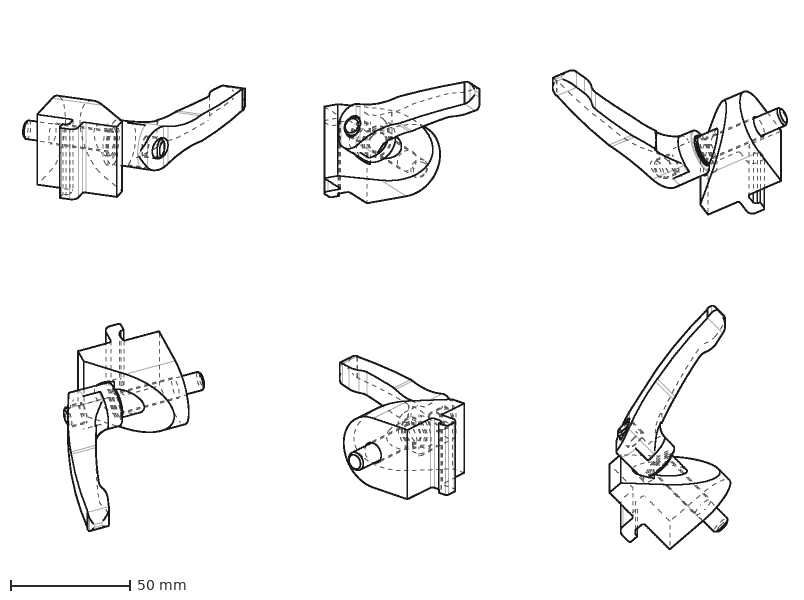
import cadquery as cq
import math


block_width = 32.0
round_radius = block_width / 2
block_length = 36.0
slope_start_x = 6.6
end_face_top_y = round_radius - (block_length - slope_start_x)
left_base_y = -18.8
right_base_y = -19.9
neck_left_x = 16.2
neck_right_x = 21.0
hook_left_x = 13.5
hook_top_y = -24.7
hook_bevel = 1.2
hook_bottom_y = -29.0
hook_toe_radius = 0.9
hook_heel_radius = 2.8
neck_left_fillet = 1.2
neck_right_fillet = 1.0
seat_diameter = 12.5
seat_x = 26.0
clearance_diameter = 9.0
hub_pocket_diameter = 20.0

stud_diameter = 8.0
stud_start_x = -11.9
stud_end_x = 49.0
stud_chamfer = 0.8
bush_diameter = 13.5
bush_chamfer = (bush_diameter - seat_diameter) / 2
hub_start_x = 27.4
hub_start_radius = 9.4
hub_radius = 9.6
hub_taper_end_x = 41.4
hub_edge_fillet = 0.3
hub_end_fillet = 3.8
end_low = (44.1, -hub_radius)
end_high = (48.9, 1.9)
stud_bore_diameter = 9.0

back_start = (49.9, 4.3)
flare_start_x = 33.65
flare_start_radius = 9.5
flare_mid = (38.5, 11.5)
flare_end = (41.2, 14.85)
flare_overlap = 1.7
flare_slope = 0.45
back_mid = (60.0, 39.8)
inner_mid = (46.2, 27.3)
inner_end = (52.3, 46.6)
hollow_mid = (52.4, 48.8)
grip_start = (51.8, 50.8)
grip_mid = (51.5, 53.6)
grip_end = (52.0, 56.4)
tip_y = 65.0
tip_x = 63.1
tip_start_y = 60.9
tip_inner_x = 53.3
tip_outer_x = 62.8
tip_corner_mid = (55.2, 63.9)
tip_flat_x = 58.2
tip_outer_radius = 1.6
tip_side_radius = tip_y - tip_start_y

side_tangent_y = 3.7
side_arc_radius = 43.2
bend_start_y = 25.7
bend_end_y = 27.1
bend_end_half = 6.0
tip_half = 4.9


def along_x(start, end, diameter):
    return cq.Workplane("YZ", origin=(start, 0, 0)).circle(diameter / 2).extrude(end - start)


def make_block():
    profile = (
        cq.Workplane("XY", origin=(0, 0, -block_width / 2))
        .moveTo(0, left_base_y)
        .lineTo(0, round_radius)
        .lineTo(slope_start_x, round_radius)
        .lineTo(block_length, end_face_top_y)
        .lineTo(block_length, right_base_y)
        .lineTo(neck_right_x, right_base_y)
        .lineTo(neck_right_x, hook_bottom_y)
        .lineTo(hook_left_x, hook_bottom_y)
        .lineTo(hook_left_x, hook_top_y)
        .lineTo(neck_left_x - hook_bevel, hook_top_y)
        .lineTo(neck_left_x, hook_top_y + hook_bevel)
        .lineTo(neck_left_x, left_base_y)
        .close()
        .extrude(block_width)
    )
    edge_radii = [
        (neck_right_x, right_base_y, neck_right_fillet),
        (neck_left_x, left_base_y, neck_left_fillet),
        (hook_left_x, hook_bottom_y, hook_toe_radius),
        (neck_right_x, hook_bottom_y, hook_heel_radius),
    ]
    for x, y, radius in edge_radii:
        profile = profile.edges(cq.NearestToPointSelector((x, y, 0))).fillet(radius)

    rounded_end = (
        cq.Workplane("YZ")
        .moveTo(hook_bottom_y, -round_radius)
        .lineTo(0, -round_radius)
        .threePointArc((round_radius, 0), (0, round_radius))
        .lineTo(hook_bottom_y, round_radius)
        .close()
        .extrude(block_length)
    )
    seat = along_x(0, seat_x, seat_diameter)
    hole = along_x(0, seat_x, clearance_diameter)
    hub_pocket = along_x(seat_x, block_length, hub_pocket_diameter)
    return profile.intersect(rounded_end).union(seat).cut(hole).cut(hub_pocket)


def make_hub():
    hub = (
        cq.Workplane("XY")
        .moveTo(hub_start_x, 0)
        .lineTo(hub_start_x, hub_start_radius)
        .lineTo(hub_taper_end_x, hub_radius)
        .lineTo(back_start[0], hub_radius)
        .lineTo(back_start[0], 0)
        .close()
        .revolve(360, (0, 0, 0), (1, 0, 0))
    )
    return hub.faces("<X").edges().fillet(hub_edge_fillet)


def make_side_outline():
    """Arm outline across Z, running along X: hub circle, waist, bend, tapered grip, rounded tip."""
    tangent_angle = math.asin(side_tangent_y / hub_radius)
    tangent_z = hub_radius * math.cos(tangent_angle)
    centre_distance = hub_radius + side_arc_radius
    centre_y = centre_distance * math.sin(tangent_angle)
    centre_z = centre_distance * math.cos(tangent_angle)
    waist_z = centre_z - side_arc_radius
    bend_start_z = centre_z - math.sqrt(side_arc_radius**2 - (bend_start_y - centre_y) ** 2)
    tip_flat_z = tip_half - tip_side_radius
    tip_mid_y = tip_start_y + tip_side_radius * math.sin(math.pi / 4)
    tip_mid_z = tip_flat_z + tip_side_radius * math.cos(math.pi / 4)
    half = (
        cq.Workplane("YZ")
        .moveTo(-hub_radius, 0)
        .threePointArc((0, hub_radius), (side_tangent_y, tangent_z))
        .threePointArc((centre_y, waist_z), (bend_start_y, bend_start_z))
        .lineTo(bend_end_y, bend_end_half)
        .lineTo(tip_start_y, tip_half)
        .threePointArc((tip_mid_y, tip_mid_z), (tip_y, tip_flat_z))
        .lineTo(tip_y, 0)
        .close()
        .extrude(tip_x)
    )
    return half.union(half.mirror("XY"))


def make_flare():
    """Trumpet-shaped blend from the hub to the inner edge of the arm, on the arm side only."""
    top_radius = flare_end[1] + flare_overlap
    flare = (
        cq.Workplane("XY")
        .moveTo(flare_start_x, 0)
        .lineTo(flare_start_x, flare_start_radius)
        .threePointArc(flare_mid, flare_end)
        .lineTo(flare_end[0] + flare_slope * flare_overlap, top_radius)
        .lineTo(tip_x, top_radius)
        .lineTo(tip_x, 0)
        .close()
        .revolve(360, (0, 0, 0), (1, 0, 0))
    )
    arm_side = cq.Workplane("XY").box(tip_x, tip_y, block_width, centered=(False, False, True))
    return flare.intersect(arm_side)


def make_arm():
    return (
        cq.Workplane("XY", origin=(0, 0, -hub_radius))
        .moveTo(*flare_end)
        .threePointArc(inner_mid, inner_end)
        .threePointArc(hollow_mid, grip_start)
        .threePointArc(grip_mid, grip_end)
        .lineTo(tip_inner_x, tip_start_y)
        .threePointArc(tip_corner_mid, (tip_flat_x, tip_y))
        .lineTo(tip_x - tip_outer_radius, tip_y)
        .radiusArc((tip_x, tip_y - tip_outer_radius), tip_outer_radius)
        .lineTo(tip_x, tip_start_y)
        .lineTo(tip_outer_x, tip_start_y)
        .lineTo(tip_x, flare_end[1])
        .close()
        .extrude(2 * hub_radius)
    )


def make_outer_limit():
    """Everything inside the slanted hub end and the long curved back of the arm."""
    limit = (
        cq.Workplane("XY", origin=(0, 0, -hub_radius))
        .moveTo(0, -hub_radius)
        .lineTo(*end_low)
        .lineTo(*end_high)
        .lineTo(*back_start)
        .threePointArc(back_mid, (tip_outer_x, tip_start_y))
        .lineTo(tip_x, tip_start_y)
        .lineTo(tip_x, tip_y)
        .lineTo(0, tip_y)
        .close()
        .extrude(2 * hub_radius)
    )
    return limit.edges(cq.NearestToPointSelector((*end_low, 0))).fillet(hub_end_fillet)


def make_lever():
    arm = make_arm().union(make_flare()).intersect(make_side_outline())
    handle = make_hub().union(arm).intersect(make_outer_limit())
    bush = along_x(seat_x, hub_start_x, bush_diameter).faces("<X").chamfer(bush_chamfer)
    stud = along_x(stud_start_x, stud_end_x, stud_diameter).faces("<X or >X").chamfer(stud_chamfer)
    bore = along_x(hub_taper_end_x, tip_x, stud_bore_diameter)
    return handle.cut(bore).union(bush).union(stud)


block = make_block()
lever = make_lever()
result = cq.Compound.makeCompound([block.solids().val(), lever.solids().val()])